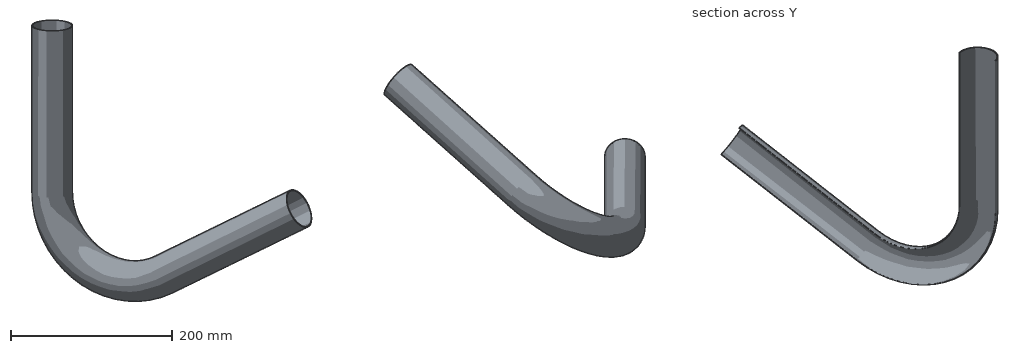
import cadquery as cq
import math

overall_length = 376.7
tube_diameter = 51.0
wall_thickness = 1.5
bend_radius = 2 * tube_diameter
bend_angle = 120.0

rise_angle = math.radians(bend_angle - 90)
tube_radius = tube_diameter / 2

bend_reach = bend_radius * (1 + math.sin(rise_angle))
end_overhang = tube_radius * math.sin(rise_angle)
leg_length = (overall_length - tube_radius - bend_reach - end_overhang) / math.cos(rise_angle)


def bend_point(angle):
    """Centerline point of the bend, at an angle from straight down about the bend center."""
    return (
        bend_radius * (1 + math.sin(angle)),
        -bend_radius * math.cos(angle),
    )


bend_start = (0, 0)
bend_middle = bend_point((rise_angle - math.pi / 2) / 2)
bend_end = bend_point(rise_angle)
free_end = (
    bend_end[0] + leg_length * math.cos(rise_angle),
    bend_end[1] + leg_length * math.sin(rise_angle),
)
centerline = (
    cq.Workplane("XZ")
    .moveTo(0, leg_length)
    .lineTo(*bend_start)
    .threePointArc(bend_middle, bend_end)
    .lineTo(*free_end)
)

result = (
    cq.Workplane("XY", origin=(0, 0, leg_length))
    .circle(tube_radius)
    .circle(tube_radius - wall_thickness)
    .sweep(centerline)
)